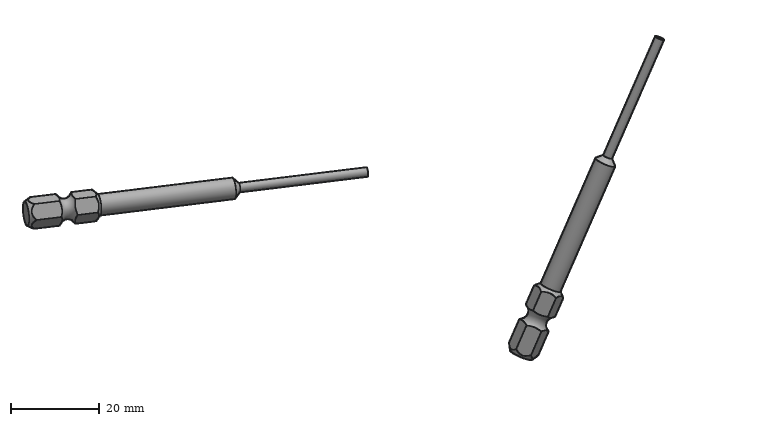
import cadquery as cq
import math

total_length = 80.0
pin_length = 30.0
shank_length = 17.0
groove_position = 9.3

pin_diameter = 2.2
body_diameter = 5.0
hex_across_flats = 6.3
hex_across_corners = hex_across_flats / math.cos(math.radians(30))

end_face_diameter = 5.6
end_chamfer_angle = 30.0
neck_diameter = 4.8
groove_radius = 2.0

pin_radius = pin_diameter / 2
body_radius = body_diameter / 2
corner_radius = hex_across_corners / 2


def along_y(profile):
    """Turn a closed XY half profile into a round solid about the Y axis."""
    return profile.close().revolve(360, (0, 0, 0), (0, 1, 0))


def make_round_shaft():
    """Body standing on the shank, with a 45 degree shoulder leading to the thin pin."""
    pin_start = total_length - pin_length
    shoulder_length = body_radius - pin_radius
    profile = (
        cq.Workplane("XY")
        .moveTo(0, shank_length)
        .lineTo(body_radius, shank_length)
        .lineTo(body_radius, pin_start - shoulder_length)
        .lineTo(pin_radius, pin_start)
        .lineTo(pin_radius, total_length)
        .lineTo(0, total_length)
    )
    return along_y(profile)


def make_shank():
    """Hexagon trimmed by a turned profile: end chamfer, ring groove and 45 degree back cone."""
    hexagon = (
        cq.Workplane("XZ")
        .polygon(6, hex_across_corners)
        .extrude(-shank_length)
    )
    end_face_radius = end_face_diameter / 2
    chamfer_length = (corner_radius - end_face_radius) / math.tan(math.radians(end_chamfer_angle))
    back_cone_length = corner_radius - body_radius
    neck_radius = neck_diameter / 2
    groove_center = neck_radius + groove_radius
    groove_half_width = math.sqrt(groove_radius**2 - (groove_center - corner_radius) ** 2)
    profile = (
        cq.Workplane("XY")
        .lineTo(end_face_radius, 0)
        .lineTo(corner_radius, chamfer_length)
        .lineTo(corner_radius, groove_position - groove_half_width)
        .threePointArc(
            (neck_radius, groove_position),
            (corner_radius, groove_position + groove_half_width),
        )
        .lineTo(corner_radius, shank_length - back_cone_length)
        .lineTo(body_radius, shank_length)
        .lineTo(0, shank_length)
    )
    return hexagon.intersect(along_y(profile))


result = make_shank().union(make_round_shaft())